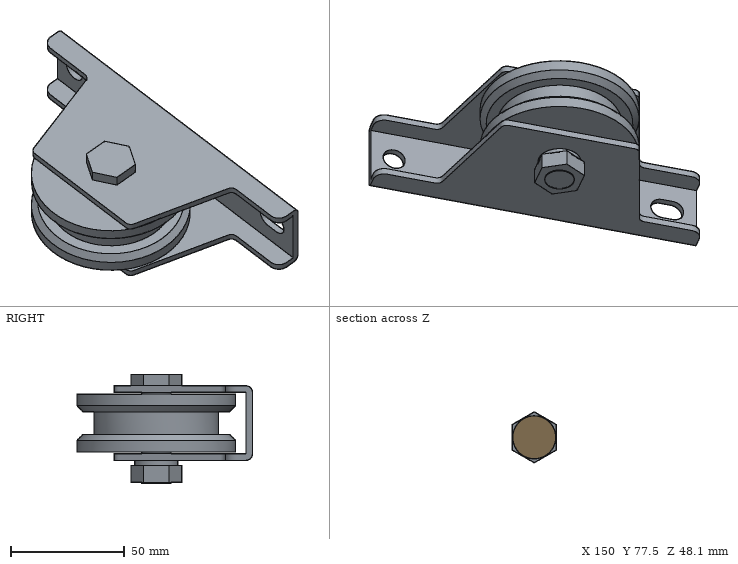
import cadquery as cq
import math


bracket_length = 150.0
bracket_height = 33.0
bracket_depth = 61.0
wall = 3.0
bend_radius = wall
back_y = 42.5
ear_depth = 12.0
ear_radius = 5.0
cheek_root_width = 91.8
cheek_tip_width = 62.4
cheek_radius = 3.0

hole_diameter = 10.0
hole_x = -64.2
slot_x = 61.5
slot_length = 15.0

wheel_diameter = 70.0
groove_diameter = 55.0
wheel_width = 25.5
groove_width = 9.9
rim_chamfer = 2.7

bolt_diameter = 13.0
hex_across_flats = 19.5
head_height = 5.0
washer_diameter = 19.0
washer_thickness = 2.1
nut_height = 7.5
bolt_overhang = 0.5

bracket_top = bracket_height / 2
bracket_bottom = -bracket_top
tip_y = back_y - bracket_depth
ear_y = back_y - ear_depth


def make_bracket():
    """U-shaped channel with tapered cheeks, open towards -Y."""
    right_half = [
        (bracket_length / 2, back_y),
        (bracket_length / 2, ear_y),
        (cheek_root_width / 2, ear_y),
        (cheek_tip_width / 2, tip_y),
    ]
    left_half = [(-x, y) for x, y in reversed(right_half)]
    block = (
        cq.Workplane("XY")
        .workplane(offset=bracket_bottom)
        .polyline(right_half + left_half)
        .close()
        .extrude(bracket_height)
    )
    ear_corners = block.faces("<X or >X").edges("|Z").edges("<Y")
    block = ear_corners.fillet(ear_radius)

    cheek_zone = cq.selectors.BoxSelector(
        (-cheek_root_width / 2 - wall, tip_y - wall, bracket_bottom),
        (cheek_root_width / 2 + wall, ear_y + wall, bracket_top),
    )
    block = block.edges("|Z").edges(cheek_zone).fillet(cheek_radius)
    block = block.edges("|X and >Y").fillet(bend_radius)

    inside_depth = bracket_depth - wall
    inside = cq.Workplane("XY").box(bracket_length, inside_depth, bracket_height - 2 * wall)
    return block.cut(inside.translate((0, tip_y + inside_depth / 2, 0)))


def make_mounting_holes():
    """Cutters for the round hole and the slot through the back wall."""
    plane = cq.Workplane("XZ", origin=(0, back_y, 0))
    hole = plane.center(hole_x, 0).circle(hole_diameter / 2).extrude(wall)
    slot = plane.center(slot_x, 0).slot2D(slot_length, hole_diameter).extrude(wall)
    return hole.union(slot)


def make_wheel():
    """Wheel with a flat-bottomed groove between two chamfered flanges."""
    flange_width = (wheel_width - groove_width) / 2
    flange = (
        cq.Workplane("XY")
        .workplane(offset=groove_width / 2)
        .circle(wheel_diameter / 2)
        .extrude(flange_width)
        .faces("<Z")
        .chamfer(rim_chamfer)
    )
    hub = cq.Workplane("XY").circle(groove_diameter / 2).extrude(wheel_width / 2, both=True)
    return hub.union(flange).union(flange.mirror("XY"))


def make_hexagon(bottom_z, height):
    """Hexagonal prism with two flats facing along X."""
    across_corners = hex_across_flats / math.cos(math.pi / 6)
    prism = cq.Workplane("XY").polygon(6, across_corners).extrude(height)
    return prism.rotate((0, 0, 0), (0, 0, 1), 30).translate((0, 0, bottom_z))


def make_fastener():
    """Bolt through both cheeks, with its head on top and a washer and nut below."""
    washer_bottom = bracket_bottom - washer_thickness
    nut_bottom = washer_bottom - nut_height
    shank_bottom = nut_bottom - bolt_overhang
    shank = (
        cq.Workplane("XY")
        .workplane(offset=shank_bottom)
        .circle(bolt_diameter / 2)
        .extrude(bracket_top - shank_bottom)
    )
    washer = (
        cq.Workplane("XY")
        .workplane(offset=washer_bottom)
        .circle(washer_diameter / 2)
        .extrude(washer_thickness)
    )
    head = make_hexagon(bracket_top, head_height)
    nut = make_hexagon(nut_bottom, nut_height)
    return shank.union(washer).union(head).union(nut)


result = make_bracket().cut(make_mounting_holes()).union(make_wheel()).union(make_fastener())